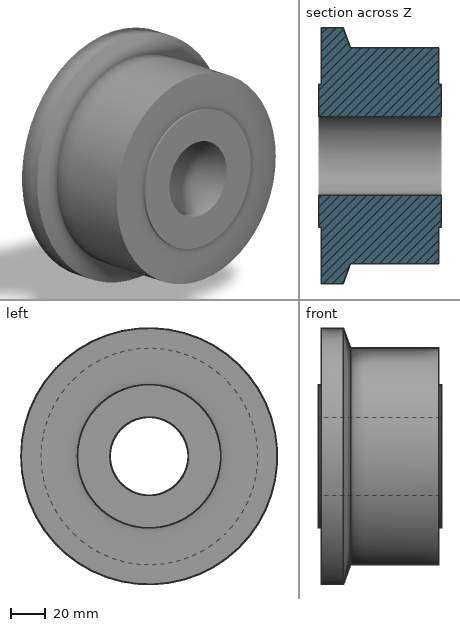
import cadquery as cq

total_width = 71.0
flange_diameter = 148.0
tread_diameter = 125.0
boss_diameter = 82.7
bore_diameter = 45.0
boss_height = 1.5
rim_width = 12.9
taper_width = 4.1
tread_width = total_width - 2 * boss_height - rim_width - taper_width

flange_radius = flange_diameter / 2
tread_radius = tread_diameter / 2
boss_radius = boss_diameter / 2
bore_radius = bore_diameter / 2

left_boss_x = -total_width / 2
flange_face_x = left_boss_x + boss_height
rim_end_x = flange_face_x + rim_width
tread_start_x = rim_end_x + taper_width
tread_end_x = tread_start_x + tread_width
right_boss_x = total_width / 2

half_section = [
    (left_boss_x, bore_radius),
    (left_boss_x, boss_radius),
    (flange_face_x, boss_radius),
    (flange_face_x, flange_radius),
    (rim_end_x, flange_radius),
    (tread_start_x, tread_radius),
    (tread_end_x, tread_radius),
    (tread_end_x, boss_radius),
    (right_boss_x, boss_radius),
    (right_boss_x, bore_radius),
]

result = (
    cq.Workplane("XY")
    .polyline(half_section)
    .close()
    .revolve(360, (0, 0, 0), (1, 0, 0))
)